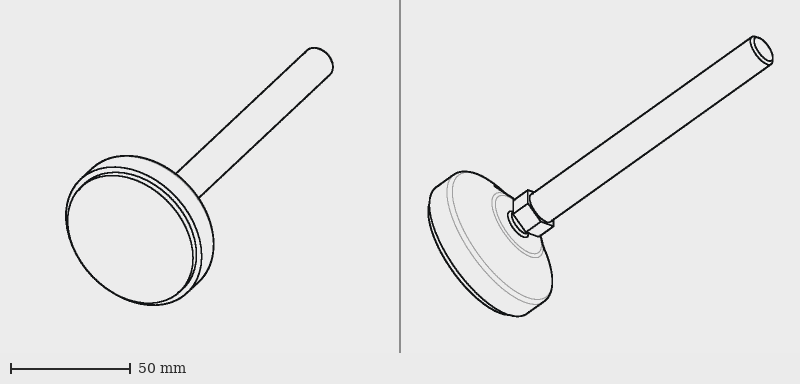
import cadquery as cq

total_length = 161.0

pad_diameter = 65.0
sole_diameter = 60.0
sole_height = 2.9
rim_top = 14.0
pad_top = 23.5
pad_top_diameter = 30.6
flank_mid_radius = 23.3
flank_mid_height = 18.5
rim_rounding = 2.1
top_rounding = 2.9

neck_diameter = 11.0
flare_diameter = 12.9
flare_top = 24.8
hex_bottom = 27.9
hex_height = 8.4
hex_across_flats = 16.1
rod_diameter = 14.0
rod_chamfer = 1.1


def make_pad():
    """Round pad with a recessed sole, straight rim and slightly hollow flank."""
    pad_radius = pad_diameter / 2
    sole_radius = sole_diameter / 2
    pad = (
        cq.Workplane("XY")
        .lineTo(sole_radius, 0)
        .lineTo(sole_radius, sole_height)
        .lineTo(pad_radius, sole_height)
        .lineTo(pad_radius, rim_top)
        .threePointArc((flank_mid_radius, flank_mid_height), (pad_top_diameter / 2, pad_top))
        .lineTo(0, pad_top)
        .close()
        .revolve(360, (0, 0), (0, 1))
    )
    pad = pad.faces(">Y").edges().fillet(top_rounding)
    rim_edge = cq.selectors.BoxSelector(
        (-pad_radius, rim_top - rim_rounding, -pad_radius),
        (pad_radius, rim_top + rim_rounding, pad_radius),
    )
    return pad.edges("%CIRCLE").edges(rim_edge).fillet(rim_rounding)


def make_neck():
    """Cylindrical neck that flares out where it meets the pad."""
    neck_radius = neck_diameter / 2
    return (
        cq.Workplane("XY", origin=(0, pad_top, 0))
        .lineTo(flare_diameter / 2, 0)
        .lineTo(neck_radius, flare_top - pad_top)
        .lineTo(neck_radius, hex_bottom - pad_top)
        .lineTo(0, hex_bottom - pad_top)
        .close()
        .revolve(360, (0, 0), (0, 1))
    )


def make_hexagon():
    """Spanner hexagon with flats facing +X and -X."""
    return (
        cq.Workplane("XZ", origin=(0, hex_bottom, 0))
        .polygon(6, hex_across_flats, circumscribed=True)
        .extrude(-hex_height)
    )


def make_rod():
    """Plain rod with a chamfered free end."""
    rod_start = hex_bottom + hex_height
    return (
        cq.Workplane("XZ", origin=(0, rod_start, 0))
        .circle(rod_diameter / 2)
        .extrude(rod_start - total_length)
        .faces(">Y")
        .chamfer(rod_chamfer)
    )


result = make_pad().union(make_neck()).union(make_hexagon()).union(make_rod())